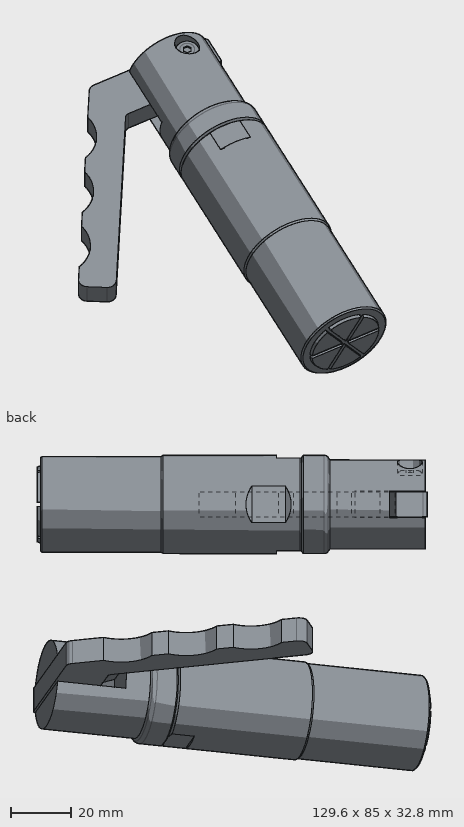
import cadquery as cq
import math


HEAD_START = 0.6
HEAD_RADIUS = 29.7 / 2
COLLAR_START = 32.4
COLLAR_FACE_LENGTH = 0.5
COLLAR_FACE_RADIUS = 15.7
COLLAR_ROUND_LENGTH = 1.4
BODY_RADIUS = 32.8 / 2
GROOVE_START = 41.2
GROOVE_WIDTH = 1.2
GROOVE_DEPTH = 0.8
BODY_END = 88.4
BODY_CHAMFER = 0.6
SLEEVE_RADIUS = 31.9 / 2
SLEEVE_END = 128.6
SLEEVE_CHAMFER = 0.5

PLUG_END = 129.6
PLUG_RADIUS = 12.8
PLUG_TAPER_ANGLE = 20
PLUG_SLOT_COUNT = 3
PLUG_SLOT_WIDTH = 1.3

FLAT_START = GROOVE_START + GROOVE_WIDTH / 2
FLAT_END = 50.0
FLAT_DEPTH = 0.97
NOTCH_CENTER = 52.8
NOTCH_TOP_LENGTH = 15.0
NOTCH_FLOOR_LENGTH = 11.1
NOTCH_DEPTH = 1.2

SLOT_HEIGHT = 8.8
SLOT_LOWER_END = 24.1
SLOT_UPPER_END = 12.6
SLOT_LIP = 1.3

PIVOT_X = 5.8
PIVOT_Y = 4.8
PIN_RADIUS = 8.3 / 2
PIN_FACE_RADIUS = 4.9 / 2
PIN_ROUND = PIN_RADIUS - PIN_FACE_RADIUS
PIN_TOP = 11.3
PIN_SOCKET_DIAMETER = 2.9
PIN_SOCKET_DEPTH = 0.6
PIN_SOCKET_TURN = 30

HANDLE_THICKNESS = 8.3
ROOT_WIDTH = 15.7
ROOT_TOP = 15.2
ROOT_TOP_WIDTH = 10.5
ROOT_TOP_FILLET = 1.4
ARM_ANGLE = math.radians(30)
ARM_WIDTH = 12.6
ARM_LENGTH = 81.7
ARM_CORNER_Y = -28.8
ARM_FILLET = 3.0
INNER_FILLET = 2.0
GRIP_COUNT = 3
GRIP_START = 12.5
GRIP_PITCH = 22.3
GRIP_CHORD = 16.6
GRIP_DEPTH = 3.4


def turned_body():
    """Revolve the stepped outline of head, collar, body and sleeve about X."""
    collar_rise = BODY_RADIUS - COLLAR_FACE_RADIUS
    round_radius = (COLLAR_ROUND_LENGTH**2 + collar_rise**2) / (2 * collar_rise)
    face_end = COLLAR_START + COLLAR_FACE_LENGTH
    round_end = face_end + COLLAR_ROUND_LENGTH
    half_length = COLLAR_ROUND_LENGTH / 2
    mid_drop = round_radius - math.sqrt(round_radius**2 - half_length**2)
    outline = (
        cq.Workplane("XY")
        .moveTo(HEAD_START, 0)
        .lineTo(HEAD_START, HEAD_RADIUS)
        .lineTo(COLLAR_START, HEAD_RADIUS)
        .lineTo(face_end, COLLAR_FACE_RADIUS)
        .threePointArc((round_end - half_length, BODY_RADIUS - mid_drop), (round_end, BODY_RADIUS))
        .lineTo(GROOVE_START, BODY_RADIUS)
        .lineTo(GROOVE_START + GROOVE_WIDTH / 2, BODY_RADIUS - GROOVE_DEPTH)
        .lineTo(GROOVE_START + GROOVE_WIDTH, BODY_RADIUS)
        .lineTo(BODY_END - BODY_CHAMFER, BODY_RADIUS)
        .lineTo(BODY_END, SLEEVE_RADIUS)
        .lineTo(SLEEVE_END - SLEEVE_CHAMFER, SLEEVE_RADIUS)
        .lineTo(SLEEVE_END, SLEEVE_RADIUS - SLEEVE_CHAMFER)
        .lineTo(SLEEVE_END, 0)
        .close()
    )
    return outline.revolve(360, (0, 0, 0), (1, 0, 0))


def end_plug():
    """Tapered disc whose face is crossed by evenly turned slots."""
    height = PLUG_END - SLEEVE_END
    base = cq.Workplane("YZ", origin=(SLEEVE_END, 0, 0))
    plug = base.circle(PLUG_RADIUS).extrude(height, taper=PLUG_TAPER_ANGLE)
    for index in range(PLUG_SLOT_COUNT):
        slot = base.rect(2 * PLUG_RADIUS, PLUG_SLOT_WIDTH).extrude(height)
        plug = plug.cut(slot.rotate((0, 0, 0), (1, 0, 0), index * 180 / PLUG_SLOT_COUNT))
    return plug


def flat_cutters():
    """Two blocks that mill the flats above and below the body."""
    length = FLAT_END - FLAT_START
    cutter = cq.Workplane("XY").box(length, 2 * BODY_RADIUS, FLAT_DEPTH)
    offset_x = (FLAT_START + FLAT_END) / 2
    offset_z = BODY_RADIUS - FLAT_DEPTH / 2
    return cutter.translate((offset_x, 0, offset_z)).union(cutter.translate((offset_x, 0, -offset_z)))


def notch_cutter():
    """Trapezoid prism for the notch with sloping ends on the +Y side."""
    floor_y = BODY_RADIUS - NOTCH_DEPTH
    return (
        cq.Workplane("XY")
        .polyline([
            (NOTCH_CENTER - NOTCH_FLOOR_LENGTH / 2, floor_y),
            (NOTCH_CENTER + NOTCH_FLOOR_LENGTH / 2, floor_y),
            (NOTCH_CENTER + NOTCH_TOP_LENGTH / 2, BODY_RADIUS),
            (NOTCH_CENTER - NOTCH_TOP_LENGTH / 2, BODY_RADIUS),
        ])
        .close()
        .extrude(BODY_RADIUS, both=True)
    )


def slot_cutter():
    """Prism for the handle slot, longer on the -Y side."""
    return (
        cq.Workplane("XY")
        .polyline([
            (0, -BODY_RADIUS),
            (SLOT_LOWER_END, -BODY_RADIUS),
            (SLOT_LOWER_END, 0),
            (SLOT_UPPER_END, HEAD_RADIUS - SLOT_LIP),
            (SLOT_UPPER_END, BODY_RADIUS),
            (0, BODY_RADIUS),
        ])
        .close()
        .extrude(SLOT_HEIGHT / 2, both=True)
    )


def pin_at_pivot(height):
    """Upright cylinder on the pivot axis, from the slot floor to a height."""
    base = cq.Workplane("XY", origin=(PIVOT_X, PIVOT_Y, -SLOT_HEIGHT / 2))
    return base.circle(PIN_RADIUS).extrude(height + SLOT_HEIGHT / 2)


def pivot_pin():
    """Round-headed pin with a small hexagon socket."""
    pin = pin_at_pivot(PIN_TOP).faces(">Z").fillet(PIN_ROUND)
    socket = (
        cq.Workplane("XY", origin=(PIVOT_X, PIVOT_Y, PIN_TOP - PIN_SOCKET_DEPTH))
        .polygon(6, PIN_SOCKET_DIAMETER)
        .extrude(PIN_SOCKET_DEPTH)
        .rotate((PIVOT_X, PIVOT_Y, 0), (PIVOT_X, PIVOT_Y, 1), PIN_SOCKET_TURN)
    )
    return pin.cut(socket)


def arm_point(along, across):
    """Point a distance along the lower arm edge and a distance across the arm."""
    return (
        along * math.cos(ARM_ANGLE) + across * math.sin(ARM_ANGLE),
        ARM_CORNER_Y - along * math.sin(ARM_ANGLE) + across * math.cos(ARM_ANGLE),
    )


def vertical_edge(point):
    """Selector for the upright edge nearest to a point of the outline."""
    return cq.selectors.NearestToPointSelector((point[0], point[1], 0))


def handle():
    """Flat handle: a root in the head slot and an arm with finger grips."""
    inner_along = (ROOT_WIDTH - ARM_WIDTH * math.sin(ARM_ANGLE)) / math.cos(ARM_ANGLE)
    inner_corner = arm_point(inner_along, ARM_WIDTH)
    outer_corner = (0, ARM_CORNER_Y)
    tip_lower = arm_point(ARM_LENGTH, 0)
    tip_upper = arm_point(ARM_LENGTH, ARM_WIDTH)
    top_corner = (0, ROOT_TOP)

    outline = cq.Workplane("XY").moveTo(*outer_corner)
    for index in range(GRIP_COUNT):
        start = GRIP_START + index * GRIP_PITCH
        end = start + GRIP_CHORD
        middle = (start + end) / 2
        outline = outline.lineTo(*arm_point(start, 0))
        outline = outline.threePointArc(arm_point(middle, GRIP_DEPTH), arm_point(end, 0))
    outline = (
        outline.lineTo(*tip_lower)
        .lineTo(*tip_upper)
        .lineTo(*inner_corner)
        .lineTo(ROOT_WIDTH, PIVOT_Y)
        .lineTo(ROOT_TOP_WIDTH, ROOT_TOP)
        .lineTo(*top_corner)
        .close()
    )
    lever = outline.extrude(HANDLE_THICKNESS / 2, both=True)

    fillets = [
        (outer_corner, ARM_FILLET),
        (tip_lower, ARM_FILLET),
        (tip_upper, ARM_FILLET),
        (inner_corner, INNER_FILLET),
        (top_corner, ROOT_TOP_FILLET),
    ]
    for corner, radius in fillets:
        lever = lever.edges("|Z").edges(vertical_edge(corner)).fillet(radius)
    return lever


body = turned_body().union(end_plug())
body = body.cut(flat_cutters()).cut(notch_cutter()).cut(slot_cutter())
body = body.cut(pin_at_pivot(BODY_RADIUS))
result = body.union(handle()).union(pivot_pin())